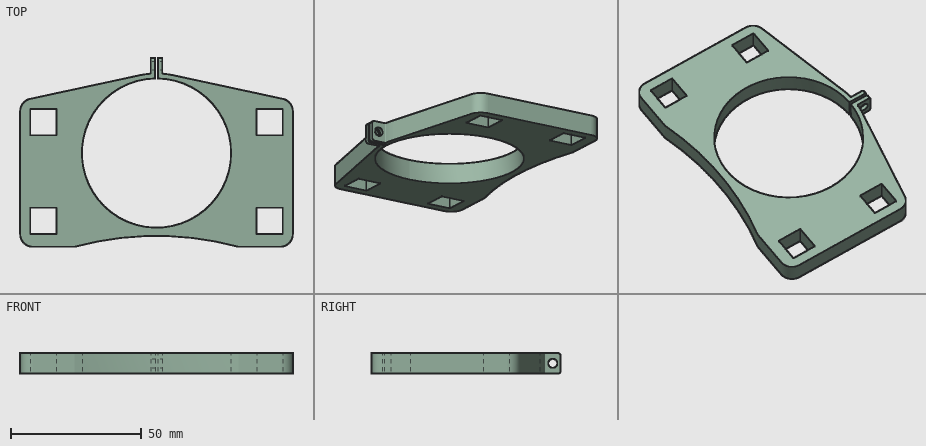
import cadquery as cq
import math


width = 105.0
length = 72.75
thickness = 8.0

bore_radius = 28.65
ring_wall = 2.0
ring_radius = bore_radius + ring_wall

tab_height = 6.0
tab_thickness = 1.75
slit_width = 1.0
tab_end_radius = 1.0
tab_root_radius = 0.25
bolt_diameter = 3.4
bolt_end_distance = 3.0
tab_end_y = ring_radius + tab_height
tabs_width = slit_width + 2 * tab_thickness

corner_radius = 5.0
shoulder_y = 16.0
half_width = width / 2
corner_x = half_width - corner_radius
bottom_y = tab_end_y - length

hollow_half_width = 31.5
hollow_depth = 4.2

window_size = 10.0
window_spacing_x = 87.0
window_spacing_y = 38.0
window_bottom_margin = 5.0


def round_point(center_x, center_y, radius, angle):
    """Point on a circle at an angle in radians from +X."""
    return (center_x + radius * math.cos(angle), center_y + radius * math.sin(angle))


def mirrored(point):
    """Point reflected across the YZ plane."""
    return (-point[0], point[1])


def make_plate():
    """Plate whose sloped edges are tangent to the ring and to the upper corner rounds."""
    center_distance = math.hypot(corner_x, shoulder_y)
    tangent_angle = math.atan2(shoulder_y, corner_x) + math.acos(
        (ring_radius - corner_radius) / center_distance
    )
    ring_tangent = round_point(0, 0, ring_radius, tangent_angle)
    slope_end = round_point(corner_x, shoulder_y, corner_radius, tangent_angle)
    upper_mid = round_point(corner_x, shoulder_y, corner_radius, tangent_angle / 2)
    lower_center_y = bottom_y + corner_radius
    lower_mid = round_point(corner_x, lower_center_y, corner_radius, -math.pi / 4)

    outline = (
        cq.Workplane("XY")
        .moveTo(-hollow_half_width, bottom_y)
        .threePointArc((0, bottom_y + hollow_depth), (hollow_half_width, bottom_y))
        .lineTo(corner_x, bottom_y)
        .threePointArc(lower_mid, (half_width, lower_center_y))
        .lineTo(half_width, shoulder_y)
        .threePointArc(upper_mid, slope_end)
        .lineTo(*ring_tangent)
        .threePointArc((0, ring_radius), mirrored(ring_tangent))
        .lineTo(*mirrored(slope_end))
        .threePointArc(mirrored(upper_mid), (-half_width, shoulder_y))
        .lineTo(-half_width, lower_center_y)
        .threePointArc(mirrored(lower_mid), (-corner_x, bottom_y))
        .close()
    )
    return outline.extrude(thickness)


def make_tabs():
    """Solid tab block with rounded outer end and a bolt hole along X."""
    block = (
        cq.Workplane("XY")
        .rect(tabs_width, tab_end_y)
        .extrude(thickness)
        .translate((0, tab_end_y / 2, 0))
    )
    block = block.faces(">Y").edges("|X").fillet(tab_end_radius)
    bolt_hole = (
        cq.Workplane("YZ")
        .center(tab_end_y - bolt_end_distance, thickness / 2)
        .circle(bolt_diameter / 2)
        .extrude(tabs_width, both=True)
    )
    return block.cut(bolt_hole)


def make_bore_and_slit():
    """Round bore together with the slit running out between the tabs."""
    bore = cq.Workplane("XY").circle(bore_radius).extrude(thickness)
    slit = (
        cq.Workplane("XY")
        .rect(slit_width, tab_end_y)
        .extrude(thickness)
        .translate((0, tab_end_y / 2, 0))
    )
    return bore.union(slit)


def make_windows():
    """Four square through windows in a rectangular pattern."""
    pattern_y = bottom_y + window_bottom_margin + (window_size + window_spacing_y) / 2
    return (
        cq.Workplane("XY")
        .center(0, pattern_y)
        .rarray(window_spacing_x, window_spacing_y, 2, 2)
        .rect(window_size, window_size)
        .extrude(thickness)
    )


def round_tab_roots(body):
    """Fillet the two inside corners where the tabs rise from the ring."""
    root_x = tabs_width / 2
    root_y = math.sqrt(ring_radius**2 - root_x**2)
    for side in (-1, 1):
        nearest_root = cq.selectors.NearestToPointSelector((side * root_x, root_y, thickness / 2))
        body = body.edges("|Z").edges(nearest_root).fillet(tab_root_radius)
    return body


body = round_tab_roots(make_plate().union(make_tabs()))
result = body.cut(make_bore_and_slit()).cut(make_windows())